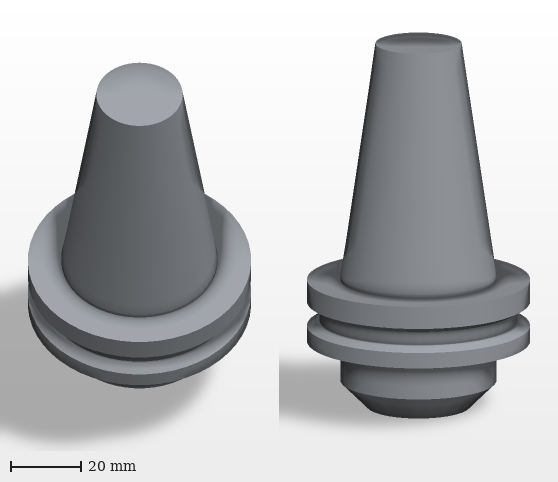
import cadquery as cq
import math

gauge_radius = 44.45 / 2
gauge_height = 38.1
taper_length = 68.25
taper_per_length = 7 / 24
taper_top = gauge_height + taper_length
taper_end_radius = gauge_radius - taper_length * taper_per_length / 2

flange_radius = 63.5 / 2
flange_bottom = 19.05
gauge_band_height = 1.0
flange_top = gauge_height - gauge_band_height
groove_radius = 56.3 / 2
groove_bottom = 25.1
groove_top = 29.1
groove_step_radius = 58.2 / 2
groove_wall_angle = 30
groove_wall_height = (flange_radius - groove_step_radius) * math.tan(math.radians(groove_wall_angle))
lower_rim_top = groove_bottom - groove_wall_height
upper_rim_bottom = groove_top + groove_wall_height

nose_radius = gauge_radius
nose_chamfer = 7.5

profile = [
    (0, 0),
    (nose_radius - nose_chamfer, 0),
    (nose_radius, nose_chamfer),
    (nose_radius, flange_bottom),
    (flange_radius, flange_bottom),
    (flange_radius, lower_rim_top),
    (groove_step_radius, groove_bottom),
    (groove_radius, groove_bottom),
    (groove_radius, groove_top),
    (groove_step_radius, groove_top),
    (flange_radius, upper_rim_bottom),
    (flange_radius, flange_top),
    (gauge_radius, flange_top),
    (gauge_radius, gauge_height),
    (taper_end_radius, taper_top),
    (0, taper_top),
]

result = cq.Workplane("XZ").polyline(profile).close().revolve(360, (0, 0), (0, 1))